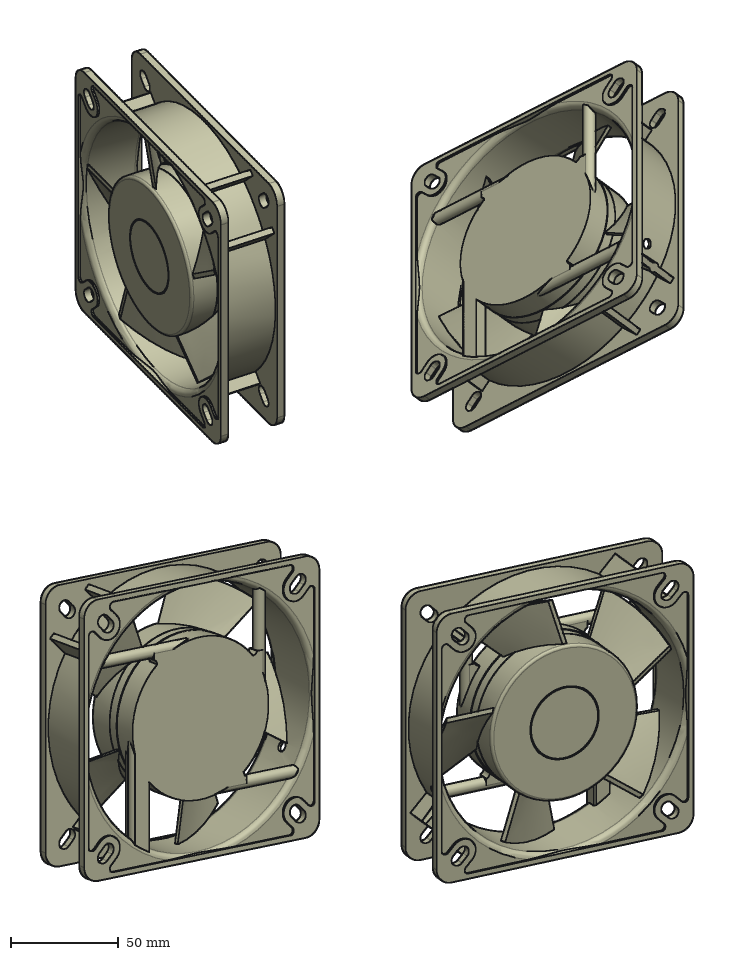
import cadquery as cq
import math


frame_size = 136.0
frame_depth = 34.0
front_y = -frame_depth / 2
back_y = frame_depth / 2
flange_thickness = 4.0
flange_corner_radius = 8.0
bore_radius = 65.0
barrel_radius = 66.5

pocket_depth = 1.0
pocket_half = 65.3
pocket_corner_radius = 2.0
pocket_floor_y = front_y + pocket_depth
lip_radius = flange_thickness - pocket_depth

slot_offset = 55.5
slot_width = 6.3
slot_length = 10.3
slot_distance = slot_offset * math.sqrt(2)
pad_radius = 6.6
pad_inner_distance = 76.3

rib_start = bore_radius - 5.0
double_rib_thickness = 3.1
double_rib_offset = 14.3
double_rib_end = 76.7
single_rib_thickness = 2.8
single_rib_end = 72.4

cable_boss_start = 64.0
cable_boss_base_radius = 3.1
cable_boss_tip_radius = 2.4
cable_hole_radius = 1.5
cable_hole_depth = 4.0
barrel_hole_radius = 2.4
barrel_hole_z = -28.2
drill_margin = 2.0

mount_radius = 39.3
mount_front_y = 3.4
mount_back_y = 16.0
strut_count = 4
strut_radius = 3.0
strut_offset = 36.0
strut_y = 13.0
lug_reach = 26.8
lug_notch_radius = 3.0
lug_notch_x = -28.0
lug_notch_z = -30.0
channel_inner = 29.6
channel_outer = 37.7
channel_front_y = 8.5
channel_chamfer = 0.8

rotor_radius = 39.0
rotor_front_y = -16.4
rotor_back_y = -2.3
rotor_fillet = 1.4
motor_radius = 38.9
motor_boss_radius = 17.7
boss_clearance = 0.5

blade_count = 5
blade_tip_radius = 62.7
blade_front_y = -14.5
blade_top = 14.3
blade_edge_height = 2.3
blade_edge_depth = 0.4
blade_trailing_thickness = 2.2
blade_root_x = -36.0
blade_root_back_y = 3.0
blade_root_bottom = -11.4
blade_outer_x = -63.0
blade_outer_back_y = 6.2
blade_outer_bottom = -27.7

diagonal_angles = [45, 135, 225, 315]


def slab(y_start):
    """Work plane facing -Y at y_start, with X to the right and Z up."""
    return cq.Workplane("XZ", origin=(0, y_start, 0))


def disc(radius, y_start, y_end):
    return slab(y_end).circle(radius).extrude(y_end - y_start)


def box(x_range, y_range, z_range):
    size = [high - low for low, high in (x_range, y_range, z_range)]
    corner = (x_range[0], y_range[0], z_range[0])
    return cq.Workplane("XY").box(*size, centered=False).translate(corner)


def turn(shape, angle):
    """Rotate about the fan axis, from +X toward +Z."""
    return shape.rotate((0, 0, 0), (0, -1, 0), angle)


def flange(y_start):
    plate = slab(y_start + flange_thickness).rect(frame_size, frame_size).extrude(flange_thickness)
    return plate.edges("|Y").fillet(flange_corner_radius)


def corner_rib(offset, thickness, end):
    """Rib along +X at the given sideways offset."""
    half = thickness / 2
    return box((rib_start, end), (front_y, back_y), (offset - half, offset + half))


def front_pocket():
    """Recess of the front flange, with raised pads left standing around the mounting slots."""
    side = 2 * pocket_half
    pocket = slab(pocket_floor_y).rect(side, side).extrude(pocket_depth)
    for angle in diagonal_angles:
        pad = disc(pad_radius, front_y, pocket_floor_y).translate((pad_inner_distance, 0, 0))
        pad = pad.union(box((pad_inner_distance, frame_size), (front_y, pocket_floor_y),
                            (-pad_radius, pad_radius)))
        pocket = pocket.cut(turn(pad, angle))
    inner_half = pocket_half - pocket_corner_radius / 2
    inside = cq.selectors.BoxSelector((-inner_half, front_y, -inner_half),
                                      (inner_half, pocket_floor_y, inner_half))
    sharp_corners = pocket.edges("|Y").edges(cq.selectors.InverseSelector(inside))
    return sharp_corners.fillet(pocket_corner_radius)


def bore_lip():
    """Rounded flare of the bore at the front, limited to the square of the pocket."""
    mouth = (
        cq.Workplane("XY")
        .moveTo(0, pocket_floor_y)
        .lineTo(bore_radius + lip_radius, pocket_floor_y)
        .radiusArc((bore_radius, pocket_floor_y + lip_radius), lip_radius)
        .lineTo(0, pocket_floor_y + lip_radius)
        .close()
        .revolve(360, (0, 0, 0), (0, 1, 0))
    )
    square = slab(back_y).rect(2 * pocket_half, 2 * pocket_half).extrude(frame_depth)
    return mouth.intersect(square)


def strut():
    """Strut toward -X below the axis, with the lug that joins it to the mount."""
    rod = (
        cq.Workplane("YZ", origin=(-bore_radius, strut_y, -strut_offset))
        .circle(strut_radius)
        .extrude(bore_radius)
    )
    lug = box((-lug_reach, 0), (strut_y - strut_radius, mount_back_y), (-strut_offset, 0))
    notch = disc(lug_notch_radius, front_y, back_y).translate((lug_notch_x, 0, lug_notch_z))
    lug = lug.cut(notch)
    return rod.intersect(disc(barrel_radius, front_y, back_y)).union(lug)


def wire_channel():
    """Box section beside the lower strut."""
    channel = box((channel_inner, channel_outer), (channel_front_y, mount_back_y), (-bore_radius, 0))
    channel = channel.edges("<X and <Y").chamfer(channel_chamfer)
    return channel.intersect(disc(barrel_radius, front_y, back_y))


def cable_boss():
    length = double_rib_end - cable_boss_start
    boss = (
        cq.Workplane("YZ", origin=(cable_boss_start, 0, 0))
        .circle(cable_boss_base_radius)
        .workplane(offset=length)
        .circle(cable_boss_tip_radius)
        .loft()
    )
    return boss.faces(">X").workplane().hole(2 * cable_hole_radius, cable_hole_depth)


def barrel_hole():
    """Small radial hole through the barrel wall on the -X side."""
    angle = 180 + math.degrees(math.asin(-barrel_hole_z / barrel_radius))
    drill = (
        cq.Workplane("YZ", origin=(bore_radius - drill_margin, 0, 0))
        .circle(barrel_hole_radius)
        .extrude(barrel_radius - bore_radius + 2 * drill_margin)
    )
    return turn(drill, angle)


def make_housing():
    body = disc(barrel_radius, front_y, back_y)
    body = body.union(flange(front_y)).union(flange(back_y - flange_thickness))
    for angle in (45, 225):
        for side in (1, -1):
            rib = corner_rib(side * double_rib_offset, double_rib_thickness, double_rib_end)
            body = body.union(turn(rib, angle))
    for angle in (135, 315):
        body = body.union(turn(corner_rib(0, single_rib_thickness, single_rib_end), angle))
    body = body.union(turn(cable_boss().translate((0, 0, -double_rib_offset)), 225))

    body = body.cut(disc(bore_radius, front_y, back_y))
    for recess in (front_pocket(), bore_lip()):
        body = body.cut(recess).cut(recess.mirror("XZ"))
    body = body.cut(barrel_hole())
    for angle in diagonal_angles:
        slot = slab(back_y).center(slot_distance, 0).slot2D(slot_length, slot_width).extrude(frame_depth)
        body = body.cut(turn(slot, angle))

    body = body.union(disc(mount_radius, mount_front_y, mount_back_y))
    for index in range(strut_count):
        body = body.union(turn(strut(), 360 / strut_count * index))
    return body.union(wire_channel())


def blade():
    """Slanted, twisted blade on the -X side, lofted from root to tip."""
    lower_lead = (blade_front_y, blade_top - blade_edge_height)
    upper_lead = (blade_front_y + blade_edge_depth, blade_top)

    def section(workplane, tail_y, bottom):
        lower_tail = (tail_y - blade_trailing_thickness, bottom)
        return workplane.polyline([lower_lead, upper_lead, (tail_y, bottom), lower_tail]).close()

    outer = section(cq.Workplane("YZ", origin=(blade_outer_x, 0, 0)),
                    blade_outer_back_y, blade_outer_bottom)
    plate = section(outer.workplane(offset=blade_root_x - blade_outer_x),
                    blade_root_back_y, blade_root_bottom).loft(ruled=True)
    span = slab(back_y).circle(blade_tip_radius).circle(rotor_radius).extrude(frame_depth)
    return plate.intersect(span)


def make_rotor():
    cup = disc(rotor_radius, rotor_front_y, rotor_back_y).faces("<Y").edges().fillet(rotor_fillet)
    cup = cup.cut(disc(motor_boss_radius + boss_clearance, front_y, back_y))
    for index in range(blade_count):
        cup = cup.union(turn(blade(), 360 / blade_count * index))
    return cup


def make_motor():
    body = disc(motor_radius, rotor_back_y, mount_front_y)
    return body.union(disc(motor_boss_radius, rotor_front_y, rotor_back_y))


housing = make_housing()
rotor = make_rotor()
motor = make_motor()

result = cq.Compound.makeCompound([body.solids().val() for body in (housing, rotor, motor)])